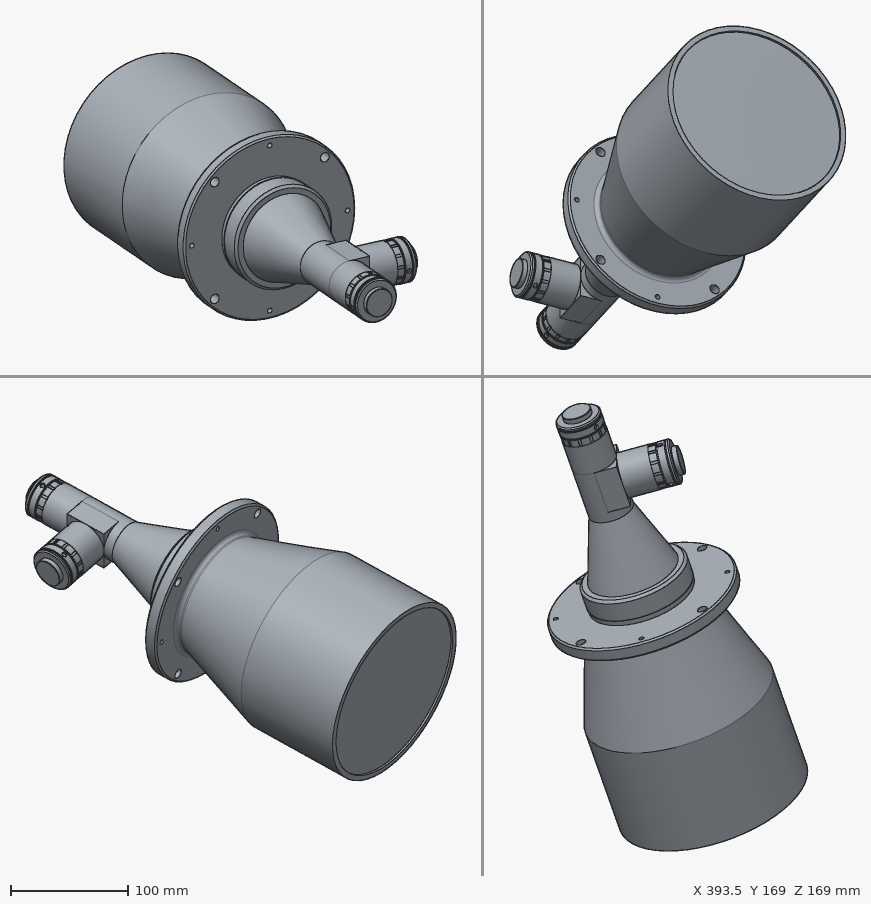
import cadquery as cq
import math

LENGTH = 393.5

BARREL_DIAMETER = 169.0
BARREL_LENGTH = 100.0
LENS_DIAMETER = 159.5
LENS_RECESS = 2.0
LENS_RISE = 1.0

NECK_START = 187.5
NECK_DIAMETER = 113.5
NECK_FILLET = 4.0

FLANGE_DIAMETER = BARREL_DIAMETER
FLANGE_START = 193.0
FLANGE_END = 205.8
FLANGE_CHAMFER = 1.5
BOLT_CIRCLE_DIAMETER = 153.5
BOLT_HOLE_DIAMETER = 8.5
BOLT_HOLE_ANGLE = 45.0
PIN_HOLE_DIAMETER = 4.5
PIN_HOLE_ANGLE = 0.0
HOLES_PER_SET = 4

HUB_SHOULDER_END = 210.5
HUB_SHOULDER_DIAMETER = 95.0
HUB_DIAMETER = 96.0
HUB_END = 230.5
HUB_CHAMFER = 2.5

REAR_CONE_DIAMETER = 81.0
REAR_CONE_END = 292.7
TUBE_DIAMETER = 40.0

BLOCK_END = 342.0
BLOCK_SIZE = TUBE_DIAMETER
BLOCK_START = BLOCK_END - BLOCK_SIZE

CAMERA_TUBE_LENGTH = LENGTH - BLOCK_END
STUB_DIAMETER = 25.5
STUB_LENGTH = 4.7
STUB_CHAMFER = 0.5
MOUNT_LENGTH = 23.5
MOUNT_CHAMFER = 1.0
GRIP_LENGTH = 6.5
GRIP_RECESS = 0.2
GRIP_SLOT_WIDTH = 2.5
GRIP_SLOT_DEPTH = 0.8
GRIP_SLOTS = 12
RING_GROOVE_WIDTH = 1.0
RING_GROOVE_DEPTH = 0.6
FRONT_GROOVE_FROM_TIP = 9.0
SET_SCREW_DIAMETER = 4.5
SET_SCREW_DEPTH = 2.5
SET_SCREW_FROM_TIP = 12.5
SET_SCREWS = 3

GRIP_ANGLE = 22.0
REAR_SCREW_ANGLE = 45.0
SIDE_SCREW_ANGLE = 6.0


def make_body():
    """Revolve everything on the main axis, up to the beam-splitter block."""
    lens_radius = LENS_DIAMETER / 2
    barrel_radius = BARREL_DIAMETER / 2
    neck_radius = NECK_DIAMETER / 2
    flange_radius = FLANGE_DIAMETER / 2
    shoulder_radius = HUB_SHOULDER_DIAMETER / 2
    hub_radius = HUB_DIAMETER / 2
    tube_radius = TUBE_DIAMETER / 2

    lens_sphere = (lens_radius**2 + LENS_RISE**2) / (2 * LENS_RISE)
    lens_apex = LENS_RECESS - LENS_RISE
    arc_radius = lens_radius / 2
    arc_x = lens_apex + lens_sphere - math.sqrt(lens_sphere**2 - arc_radius**2)

    fillet_middle = NECK_FILLET * math.sqrt(0.5)
    fillet_x = FLANGE_START - NECK_FILLET
    fillet_radius = neck_radius + NECK_FILLET

    profile = (
        cq.Workplane("XY")
        .moveTo(lens_apex, 0)
        .threePointArc((arc_x, arc_radius), (LENS_RECESS, lens_radius))
        .lineTo(0, lens_radius)
        .lineTo(0, barrel_radius)
        .lineTo(BARREL_LENGTH, barrel_radius)
        .lineTo(NECK_START, neck_radius)
        .lineTo(fillet_x, neck_radius)
        .threePointArc(
            (fillet_x + fillet_middle, fillet_radius - fillet_middle),
            (FLANGE_START, fillet_radius),
        )
        .lineTo(FLANGE_START, flange_radius - FLANGE_CHAMFER)
        .lineTo(FLANGE_START + FLANGE_CHAMFER, flange_radius)
        .lineTo(FLANGE_END - FLANGE_CHAMFER, flange_radius)
        .lineTo(FLANGE_END, flange_radius - FLANGE_CHAMFER)
        .lineTo(FLANGE_END, shoulder_radius)
        .lineTo(HUB_SHOULDER_END, shoulder_radius)
        .lineTo(HUB_SHOULDER_END, hub_radius)
        .lineTo(HUB_END - HUB_CHAMFER, hub_radius)
        .lineTo(HUB_END, hub_radius - HUB_CHAMFER)
        .lineTo(HUB_END, REAR_CONE_DIAMETER / 2)
        .lineTo(REAR_CONE_END, tube_radius)
        .lineTo(BLOCK_START, tube_radius)
        .lineTo(BLOCK_START, 0)
        .close()
    )
    return profile.revolve(360, (0, 0, 0), (1, 0, 0))


def flange_holes(diameter, start_angle):
    """Ring of through holes on the flange's bolt circle."""
    return (
        cq.Workplane("YZ", origin=(FLANGE_START, 0, 0))
        .polarArray(BOLT_CIRCLE_DIAMETER / 2, start_angle, 360, HOLES_PER_SET)
        .circle(diameter / 2)
        .extrude(FLANGE_END - FLANGE_START)
    )


def make_block():
    """Beam-splitter block with a section of half square and half circle."""
    half = BLOCK_SIZE / 2
    return (
        cq.Workplane("YZ", origin=(BLOCK_START, 0, 0))
        .moveTo(0, half)
        .threePointArc((-half, 0), (0, -half))
        .lineTo(half, -half)
        .lineTo(half, half)
        .close()
        .extrude(BLOCK_SIZE)
    )


def around_tube(cutter, count, start_angle):
    """Copies of a cutter spaced evenly around the Z axis."""
    angles = [start_angle + index * 360 / count for index in range(count)]
    return [cutter.rotate((0, 0, 0), (0, 0, 1), angle) for angle in angles]


def ring_cutter(start, width, depth):
    """Cutter for a shallow band around a camera tube."""
    radius = TUBE_DIAMETER / 2
    return (
        cq.Workplane("XY", origin=(0, 0, start))
        .circle(radius + depth)
        .circle(radius - depth)
        .extrude(width)
    )


def make_camera_tube(screw_angle):
    """Camera tube along +Z from Z = 0, with its mount at the far end."""
    radius = TUBE_DIAMETER / 2
    tube = cq.Workplane("XY").circle(radius).extrude(CAMERA_TUBE_LENGTH - STUB_LENGTH)
    tube = tube.faces(">Z").edges().chamfer(MOUNT_CHAMFER)
    stub = cq.Workplane("XY").circle(STUB_DIAMETER / 2).extrude(CAMERA_TUBE_LENGTH)
    stub = stub.faces(">Z").edges().chamfer(STUB_CHAMFER)
    tube = tube.union(stub)

    mount_start = CAMERA_TUBE_LENGTH - MOUNT_LENGTH
    slot = (
        cq.Workplane("XY", origin=(radius, 0, mount_start))
        .rect(2 * GRIP_SLOT_DEPTH, GRIP_SLOT_WIDTH)
        .extrude(GRIP_LENGTH)
    )
    cutters = around_tube(slot, GRIP_SLOTS, GRIP_ANGLE)

    cutters.append(ring_cutter(mount_start, GRIP_LENGTH, GRIP_RECESS))
    front_groove = CAMERA_TUBE_LENGTH - FRONT_GROOVE_FROM_TIP
    for start in (mount_start + GRIP_LENGTH, front_groove):
        cutters.append(ring_cutter(start, RING_GROOVE_WIDTH, RING_GROOVE_DEPTH))

    screw_start = radius - SET_SCREW_DEPTH
    screw_height = CAMERA_TUBE_LENGTH - SET_SCREW_FROM_TIP
    screw = (
        cq.Workplane("YZ", origin=(screw_start, 0, screw_height))
        .circle(SET_SCREW_DIAMETER / 2)
        .extrude(2 * SET_SCREW_DEPTH)
    )
    cutters += around_tube(screw, SET_SCREWS, screw_angle)

    for cutter in cutters:
        tube = tube.cut(cutter)
    return tube


body = make_body()
body = body.cut(flange_holes(BOLT_HOLE_DIAMETER, BOLT_HOLE_ANGLE))
body = body.cut(flange_holes(PIN_HOLE_DIAMETER, PIN_HOLE_ANGLE))

rear_tube = (
    make_camera_tube(REAR_SCREW_ANGLE)
    .rotate((0, 0, 0), (0, 1, 0), 90)
    .translate((BLOCK_END, 0, 0))
)
side_tube = (
    make_camera_tube(SIDE_SCREW_ANGLE)
    .rotate((0, 0, 0), (1, 0, 0), -90)
    .translate((BLOCK_END - BLOCK_SIZE / 2, BLOCK_SIZE / 2, 0))
)

result = body.union(make_block()).union(rear_tube).union(side_tube)